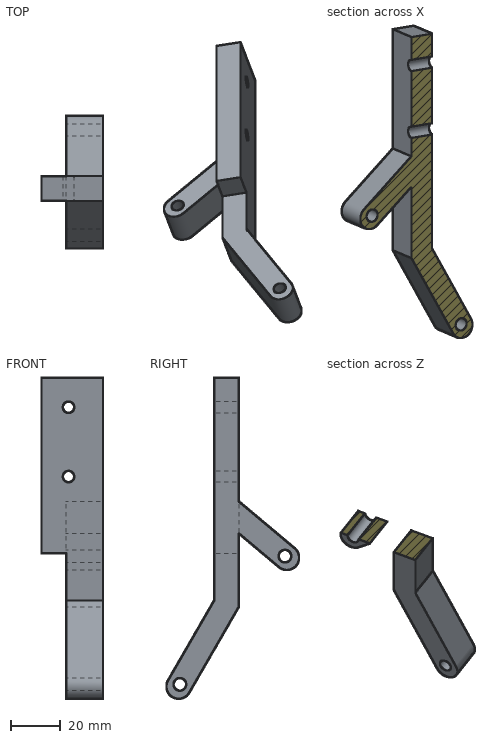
import cadquery as cq
import math

thickness = 10.0
plate_width = 25.0
wide_height = 71.0
arm_width = 15.0
arm_left = plate_width - arm_width
half_thickness = thickness / 2
end_radius = half_thickness

bend_depth = 90.0
lower_angle = math.radians(30)
lower_back_length = 40.0

rear_root_depth = 50.0
rear_angle = math.radians(40)
rear_top_length = 29.5

pivot_diameter = 5.0
pivot_setback = 1.0
mount_diameter = 4.5
mount_x = 11.0
mount_depths = (12.0, 40.0)

lower_along = (-math.sin(lower_angle), -math.cos(lower_angle))
lower_backward = (math.cos(lower_angle), -math.sin(lower_angle))
rear_along = (math.cos(rear_angle), -math.sin(rear_angle))
rear_upward = (math.sin(rear_angle), math.cos(rear_angle))


def offset(point, direction, distance):
    """Point moved by a distance along a unit (Y, Z) direction."""
    return (point[0] + distance * direction[0], point[1] + distance * direction[1])


bend_offset = thickness * math.tan(lower_angle / 2)
outer_bend = (half_thickness, -bend_depth - bend_offset)
lower_back_tangent = offset(outer_bend, lower_along, lower_back_length)
lower_end = offset(lower_back_tangent, lower_backward, -end_radius)

upper_root = (half_thickness, -rear_root_depth)
lower_root = (half_thickness, -rear_root_depth - thickness / math.cos(rear_angle))
rear_top_tangent = offset(upper_root, rear_along, rear_top_length)
rear_end = offset(rear_top_tangent, rear_upward, -end_radius)


def profile_plane():
    """YZ sketch plane at the left side of the arms."""
    return cq.Workplane("YZ", origin=(arm_left, 0, 0))


def make_plate():
    """Wide upper plate that carries the mounting holes."""
    return (
        cq.Workplane("XY", origin=(0, 0, -wide_height))
        .box(plate_width, thickness, wide_height, centered=(False, True, False))
    )


def make_lower_arm():
    """Narrow leg continuing down from the plate, bent forward, with a round end."""
    return (
        profile_plane()
        .moveTo(half_thickness, -wide_height)
        .lineTo(*outer_bend)
        .lineTo(*lower_back_tangent)
        .threePointArc(
            offset(lower_end, lower_along, end_radius),
            offset(lower_end, lower_backward, -end_radius),
        )
        .lineTo(-half_thickness, -bend_depth)
        .lineTo(-half_thickness, -wide_height)
        .close()
        .extrude(arm_width)
    )


def make_rear_arm():
    """Sloping arm with a round end, rooted on the back face of the plate."""
    return (
        profile_plane()
        .moveTo(*upper_root)
        .lineTo(*rear_top_tangent)
        .threePointArc(
            offset(rear_end, rear_along, end_radius),
            offset(rear_end, rear_upward, -end_radius),
        )
        .lineTo(*lower_root)
        .close()
        .extrude(arm_width)
    )


def make_pivot_holes():
    """Cutters along X through both arm ends."""
    centres = [
        offset(lower_end, lower_along, -pivot_setback),
        offset(rear_end, rear_along, -pivot_setback),
    ]
    return profile_plane().pushPoints(centres).circle(pivot_diameter / 2).extrude(arm_width)


def make_mount_holes():
    """Cutters along Y through the plate."""
    return (
        cq.Workplane("XZ")
        .pushPoints([(mount_x, -depth) for depth in mount_depths])
        .circle(mount_diameter / 2)
        .extrude(half_thickness, both=True)
    )


body = make_plate().union(make_lower_arm()).union(make_rear_arm())
result = body.cut(make_pivot_holes()).cut(make_mount_holes())